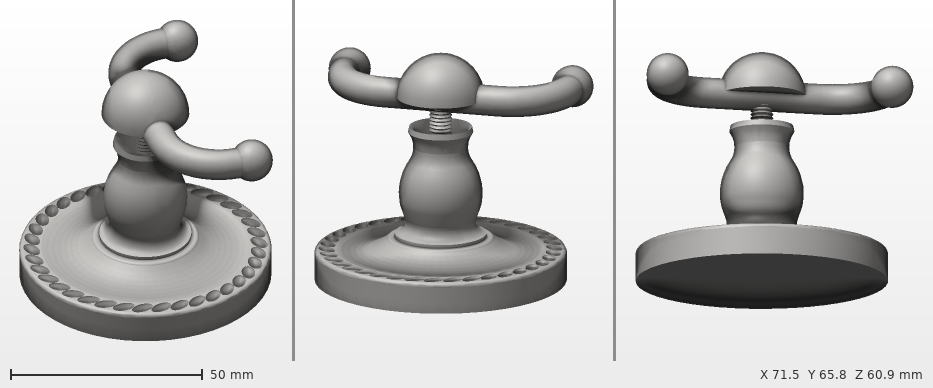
import cadquery as cq
import math

base_radius = 32.895
base_wall_height = 7.15
rim_round_radius = 1.1
rim_height = base_wall_height + rim_round_radius
dish_outer_radius = 27.1
dish_low_radius = 22.0
dish_low_height = 7.7
seat_edge_radius = 14.0
seat_edge_height = 11.2
seat_round_width = 1.0
seat_round_radius = 1.0
seat_height = 11.65

strand_count = 38
strand_ring_radius = 29.65
strand_half_length = 2.95
strand_half_width = 1.75
strand_tilt = 31
strand_height = 8.4
strand_first_angle = 8.2

foot_radius = 12.0
foot_thickness = 0.95
foot_top = seat_height + foot_thickness
ankle_radius = 9.2
ankle_height = 15.5
belly_bottom_radius = 9.5
belly_bottom_height = 16.95
ankle_curve_radius = 3.65
belly_radius = 10.95
belly_height = 23.4
belly_top_radius = 8.4
belly_top_height = 31.8
neck_radius = 7.15
neck_height = 35.8
neck_curve_radius = 7.0
lip_radius = 8.5
lip_height = 39.95
rim_top_radius = 8.2
post_top = 41.4

overall_width = 71.45
overall_height = 60.9
dome_radius = 11.45
hook_height = overall_height - dome_radius
arm_radius = 4.0
ball_radius = 5.5
bend_radius = 15.0
ball_x = overall_width / 2 - ball_radius
ball_y = 19.0
bend_start_x = ball_x - bend_radius

thread_crest_radius = 3.0
thread_root_radius = 2.5
thread_pitch = 1.0
thread_turns = 14
stud_bottom = 33.0

cup_radius = dome_radius
cup_height = post_top + math.sqrt(cup_radius**2 - rim_top_radius**2)


def revolve_about_z(profile):
    """Close an XZ profile whose ends lie on the Z axis and turn it about that axis."""
    return profile.close().revolve(360, (0, 0, 0), (0, 1, 0))


def make_strand(index):
    """One rope strand: an ellipsoid on the rope ring, tilted from the ring's tangent."""
    angle = strand_first_angle + index * 360 / strand_count
    return (
        cq.Workplane("XY")
        .ellipseArc(strand_half_length, strand_half_width, 0, 180, startAtCurrent=False)
        .close()
        .revolve(360, (0, 0, 0), (1, 0, 0))
        .rotate((0, 0, 0), (0, 0, 1), 90 + strand_tilt)
        .translate((strand_ring_radius, 0, strand_height))
        .rotate((0, 0, 0), (0, 0, 1), angle)
        .val()
    )


def make_base():
    disc = revolve_about_z(
        cq.Workplane("XZ")
        .lineTo(base_radius, 0)
        .lineTo(base_radius, base_wall_height)
        .radiusArc((base_radius - rim_round_radius, rim_height), -rim_round_radius)
        .lineTo(dish_outer_radius, rim_height)
        .threePointArc((dish_low_radius, dish_low_height), (seat_edge_radius, seat_edge_height))
        .radiusArc((seat_edge_radius - seat_round_width, seat_height), -seat_round_radius)
        .lineTo(0, seat_height)
    )
    strands = [make_strand(index) for index in range(strand_count)]
    return cq.Workplane(disc.val().fuse(*strands))


def make_post():
    body = revolve_about_z(
        cq.Workplane("XZ")
        .moveTo(0, seat_height)
        .lineTo(foot_radius, seat_height)
        .lineTo(foot_radius, foot_top)
        .radiusArc((ankle_radius, ankle_height), ankle_height - foot_top)
        .radiusArc((belly_bottom_radius, belly_bottom_height), ankle_curve_radius)
        .threePointArc((belly_radius, belly_height), (belly_top_radius, belly_top_height))
        .radiusArc((neck_radius, neck_height), neck_curve_radius)
        .radiusArc((lip_radius, lip_height), neck_curve_radius)
        .lineTo(rim_top_radius, post_top)
        .lineTo(0, post_top)
    )
    cup = cq.Workplane("XY").sphere(cup_radius).translate((0, 0, cup_height))
    return body.cut(cup)


def make_arm(side):
    """One arm from the dome's middle, bent toward +Y and capped with a ball; side is +1 or -1."""
    bend_middle = bend_radius * math.sqrt(0.5)
    path = (
        cq.Workplane("XY")
        .lineTo(side * bend_start_x, 0)
        .threePointArc(
            (side * (bend_start_x + bend_middle), bend_radius - bend_middle),
            (side * ball_x, bend_radius),
        )
        .lineTo(side * ball_x, ball_y)
    )
    rod = cq.Workplane("YZ").circle(arm_radius).sweep(path)
    ball = cq.Workplane("XY").sphere(ball_radius).translate((side * ball_x, ball_y, 0))
    return rod.union(ball).translate((0, 0, hook_height))


def make_stud():
    """Threaded stud running from inside the post up into the middle of the arms."""
    profile = cq.Workplane("XZ").moveTo(0, stud_bottom).lineTo(thread_root_radius, stud_bottom)
    for turn in range(thread_turns):
        ring_bottom = stud_bottom + turn * thread_pitch
        profile = profile.lineTo(thread_crest_radius, ring_bottom + thread_pitch / 2)
        profile = profile.lineTo(thread_root_radius, ring_bottom + thread_pitch)
    profile = profile.lineTo(thread_root_radius, hook_height).lineTo(0, hook_height)
    return revolve_about_z(profile)


def make_hook():
    hook = cq.Workplane("XY").sphere(dome_radius, angle1=0).translate((0, 0, hook_height))
    for side in (-1, 1):
        hook = hook.union(make_arm(side))
    return hook.union(make_stud())


base = make_base()
hook = make_hook()
post = make_post().cut(hook)

result = cq.Compound.makeCompound([base.val(), post.val(), hook.val()])